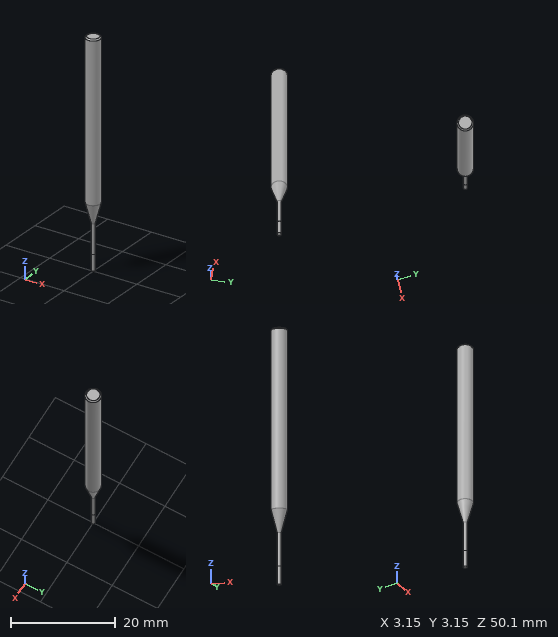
import cadquery as cq

total_length = 50.15
shank_radius = 3.15 / 2
neck_radius = 0.8 / 2

point_height = 0.15
cutter_top = 3.7
neck_top = 10.25
shank_bottom = 14.75

chamfer = 0.3


def revolve_about_z(profile_points):
    """Solid of revolution from a closed (radius, height) outline."""
    profile = cq.Workplane("XZ").polyline(profile_points).close()
    return profile.revolve(360, (0, 0, 0), (0, 1, 0))


def make_cutter():
    """Cutting end: a plain cylinder with a shallow conical point."""
    return revolve_about_z([
        (0, 0),
        (neck_radius, point_height),
        (neck_radius, cutter_top),
        (0, cutter_top),
    ])


def make_holder():
    """Neck, conical transition and chamfered shank, resting on the cutter."""
    return revolve_about_z([
        (0, cutter_top),
        (neck_radius, cutter_top),
        (neck_radius, neck_top),
        (shank_radius, shank_bottom),
        (shank_radius, total_length - chamfer),
        (shank_radius - chamfer, total_length),
        (0, total_length),
    ])


cutter = make_cutter()
holder = make_holder()

result = cq.Compound.makeCompound([cutter.val(), holder.val()])